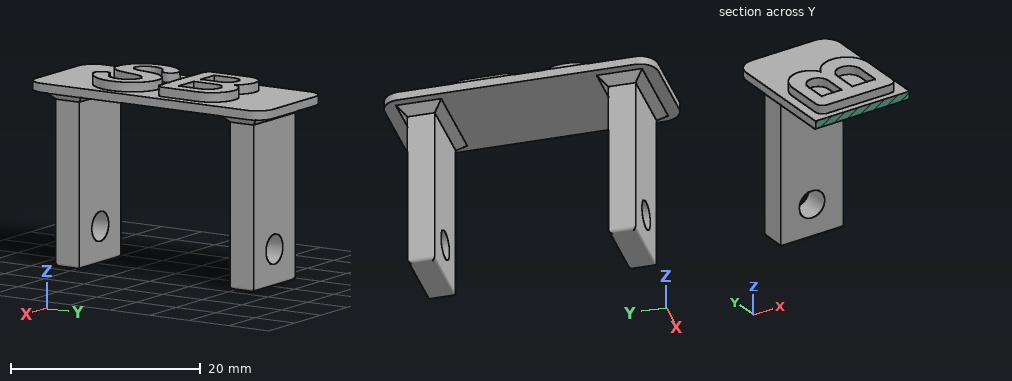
import cadquery as cq

plate_width = 12.0
plate_length = 30.0
plate_thickness = 1.0
plate_corner_radius = 2.0

total_height = 21.0
letter_height = 1.02
leg_width = 7.98
leg_thickness = 3.0
leg_offset = 11.0
flare = 1.0
foot_radius = 0.4
hole_diameter = 3.2
hole_height = 4.0

plate_top = total_height - letter_height
plate_bottom = plate_top - plate_thickness

b_base = 0.72
b_half_width = 4.9
b_corner_radius = 0.9
b_small_lobe_right = -0.1
b_small_lobe_top = 8.4
b_large_lobe_left = -0.7
b_large_lobe_top = 8.85
b_opening_base = 2.65
b_small_opening = (-3.42, -0.87, 6.42)
b_large_opening = (0.48, 3.4, 6.87)

s_upper_edge = [
    (-2.13, -3.12), (-3.2, -3.85), (-3.7, -5.0), (-3.2, -6.35), (-2.3, -6.75),
    (-1.55, -6.1), (-1.1, -4.35), (-0.55, -2.52), (0.35, -1.45), (1.95, -0.95),
    (3.93, -1.8), (5.13, -4.83), (4.32, -7.23), (2.28, -8.82),
]
s_right_cap_middle = (1.32, -7.9)
s_lower_edge = [
    (2.0, -7.0), (3.15, -6.2), (3.63, -4.95), (3.3, -3.65), (2.13, -2.97),
    (1.08, -3.8), (0.6, -5.35), (-0.03, -7.38), (-1.05, -8.43), (-2.3, -8.65),
    (-4.23, -7.62), (-5.1, -4.95), (-4.23, -2.4), (-2.75, -1.4),
]
s_left_cap_middle = (-1.7, -2.4)


def make_plate():
    return (
        cq.Workplane("XY", origin=(0, 0, plate_bottom))
        .rect(plate_width, plate_length)
        .extrude(plate_thickness)
        .edges("|Z")
        .fillet(plate_corner_radius)
    )


def make_leg(y):
    shaft = (
        cq.Workplane("XY", origin=(0, y, 0))
        .rect(leg_width, leg_thickness)
        .extrude(plate_bottom)
        .faces("<Z")
        .edges()
        .fillet(foot_radius)
    )
    root = (
        cq.Workplane("XY", origin=(0, y, plate_bottom - flare))
        .rect(leg_width, leg_thickness)
        .workplane(offset=flare)
        .rect(leg_width + 2 * flare, leg_thickness + 2 * flare)
        .loft(ruled=True)
    )
    hole = (
        cq.Workplane("XZ", origin=(0, y + leg_thickness / 2, hole_height))
        .circle(hole_diameter / 2)
        .extrude(leg_thickness)
    )
    return shaft.union(root).cut(hole)


def arch(left, right, base, top):
    """Upright block on the plate whose far end is a half circle."""
    middle = (left + right) / 2
    spring = top - (right - left) / 2
    return (
        cq.Workplane("XY", origin=(0, 0, plate_top))
        .moveTo(left, base)
        .lineTo(right, base)
        .lineTo(right, spring)
        .threePointArc((middle, top), (left, spring))
        .close()
        .extrude(letter_height)
    )


def make_letter_b():
    small_lobe = arch(-b_half_width, b_small_lobe_right, b_base, b_small_lobe_top)
    large_lobe = arch(b_large_lobe_left, b_half_width, b_base, b_large_lobe_top)
    small_lobe = small_lobe.edges("|Z").edges("<X").edges("<Y").fillet(b_corner_radius)
    large_lobe = large_lobe.edges("|Z").edges(">X").edges("<Y").fillet(b_corner_radius)
    letter = small_lobe.union(large_lobe)
    for left, right, top in (b_small_opening, b_large_opening):
        letter = letter.cut(arch(left, right, b_opening_base, top))
    return letter


def make_letter_s():
    return (
        cq.Workplane("XY", origin=(0, 0, plate_top))
        .moveTo(*s_upper_edge[0])
        .spline(s_upper_edge[1:], includeCurrent=True)
        .threePointArc(s_right_cap_middle, s_lower_edge[0])
        .spline(s_lower_edge[1:], includeCurrent=True)
        .threePointArc(s_left_cap_middle, s_upper_edge[0])
        .close()
        .extrude(letter_height)
    )


result = make_plate()
for leg_y in (-leg_offset, leg_offset):
    result = result.union(make_leg(leg_y))
result = result.union(make_letter_b()).union(make_letter_s())